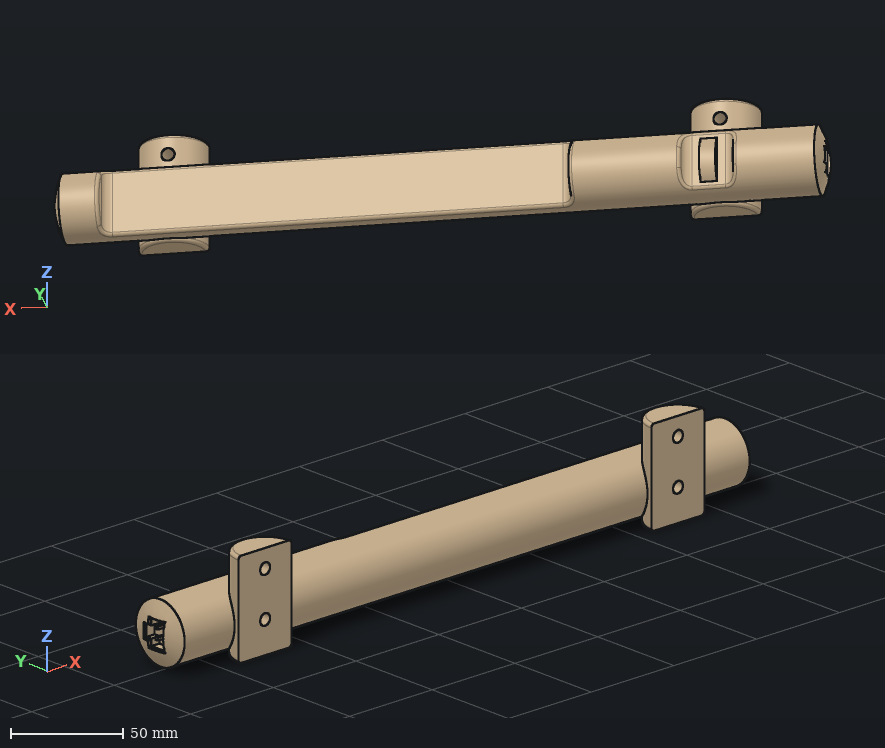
import cadquery as cq
import math

length = 349.5
tube_radius = 16.0
dome_rise = 4.2

bracket_height = 51.0
bracket_radius = 16.0
bracket_spacing = 249.5
bracket_bottom = -17.0
bracket_edge_fillet = 1.7
wall_gap = 2.8
wall_y = -tube_radius - wall_gap

screw_hole_diameter = 6.0
screw_hole_pitch = 24.0
lower_hole_depth = 7.0

cutout_corner_radius = 4.2
cutout_edge_fillet = 1.7
switch_x = -122.0
switch_cutout_width = 23.5
switch_floor_y = 9.5
panel_left = -59.5
panel_right = 152.5
panel_floor_y = 4.5

button_width = 7.5
button_radius = 14.0

socket_depth = 7.0
socket_rim_depth = 2.0
socket_rim = 0.7
socket_front = -6.0
socket_back = 4.2
socket_half_height = 7.5
key_depth = 3.0
key_half_height = 4.0
pin_size = 1.5
pin_pitch = 5.2
pin_length = 4.2
pin_y = 0.7

dome_radius = (tube_radius**2 + dome_rise**2) / (2 * dome_rise)
key_corner_distance = math.hypot(socket_back, key_half_height)
tip_loss = dome_radius - math.sqrt(dome_radius**2 - key_corner_distance**2)
tube_end = (length + tip_loss) / 2

margin = 0.5


def make_tube():
    """Revolve half of the lengthwise section, with an arc for each dome, about X."""
    shoulder = tube_end - dome_rise
    half_angle = math.asin(tube_radius / dome_radius) / 2
    mid_x = tube_end - dome_radius * (1 - math.cos(half_angle))
    mid_y = dome_radius * math.sin(half_angle)
    return (
        cq.Workplane("XY")
        .moveTo(-tube_end, 0)
        .threePointArc((-mid_x, mid_y), (-shoulder, tube_radius))
        .lineTo(shoulder, tube_radius)
        .threePointArc((mid_x, mid_y), (tube_end, 0))
        .close()
        .revolve(360, (0, 0, 0), (1, 0, 0))
    )


def cut_out_back(body, left, right, floor_y):
    """Cut a channel with rounded corners across the back along Z and round its rim."""
    width = right - left
    channel = (
        cq.Workplane("XY")
        .box(width, 2 * tube_radius, 4 * tube_radius, centered=(False, False, True))
        .edges("|Z and <Y")
        .fillet(cutout_corner_radius)
        .translate((left, floor_y, 0))
    )
    in_channel = cq.selectors.BoxSelector(
        (left - margin, floor_y - margin, -tube_radius),
        (right + margin, tube_radius + margin, tube_radius),
    )
    return body.cut(channel).edges(in_channel).edges("not |Z").fillet(cutout_edge_fillet)


def make_button():
    """Slice of a smaller round bar, reaching from inside the tube to above the floor."""
    bar = cq.Workplane("YZ").circle(button_radius).extrude(button_width)
    back_half = cq.Workplane("XY").box(
        button_width, button_radius, 2 * button_radius, centered=(False, False, True)
    )
    return bar.intersect(back_half).translate((switch_x - button_width / 2, 0, 0))


def socket_prism(inset, depth):
    """Socket outline, a rectangle with a key tab toward +Y, extruded from the end of the tube."""
    half_height = socket_half_height - inset
    half_key = key_half_height - inset
    back = socket_back - inset
    return (
        cq.Workplane("YZ", origin=(-tube_end, 0, 0))
        .moveTo(socket_front + inset, -half_height)
        .lineTo(back, -half_height)
        .lineTo(back, -half_key)
        .lineTo(back + key_depth, -half_key)
        .lineTo(back + key_depth, half_key)
        .lineTo(back, half_key)
        .lineTo(back, half_height)
        .lineTo(socket_front + inset, half_height)
        .close()
        .extrude(depth)
    )


def cut_socket(body):
    """Cut the stepped socket into the left dome and leave its two pins standing."""
    pins = (
        cq.Workplane("YZ", origin=(-tube_end + socket_depth - pin_length, pin_y, 0))
        .rarray(3.5, pin_pitch, 1, 2)
        .rect(pin_size, pin_size)
        .extrude(pin_length + margin)
    )
    recess = socket_prism(0, socket_rim_depth)
    opening = socket_prism(socket_rim, socket_depth)
    return body.cut(recess).cut(opening).union(pins)


def make_bracket(x):
    """Half-round post with rounded ends on a flat wall face."""
    outside_wall = cq.Workplane("XY").box(
        4 * bracket_radius, 2 * bracket_radius, 2 * bracket_height, centered=(True, False, True)
    )
    return (
        cq.Workplane("XY")
        .circle(bracket_radius)
        .extrude(bracket_height)
        .edges()
        .fillet(bracket_edge_fillet)
        .intersect(outside_wall)
        .translate((x, wall_y, bracket_bottom))
    )


def screw_hole(x, z, depth):
    """Cylinder entering from the wall face toward +Y."""
    return (
        cq.Workplane("XZ", origin=(x, wall_y, z))
        .circle(screw_hole_diameter / 2)
        .extrude(-depth)
    )


body = make_tube()
switch_half = switch_cutout_width / 2
body = cut_out_back(body, switch_x - switch_half, switch_x + switch_half, switch_floor_y)
body = cut_out_back(body, panel_left, panel_right, panel_floor_y)
body = body.union(make_button())
body = cut_socket(body)

for bracket_x in (-bracket_spacing / 2, bracket_spacing / 2):
    body = body.union(make_bracket(bracket_x))
    body = body.cut(screw_hole(bracket_x, 0, lower_hole_depth))
    body = body.cut(screw_hole(bracket_x, screw_hole_pitch, 2 * bracket_radius))

result = body